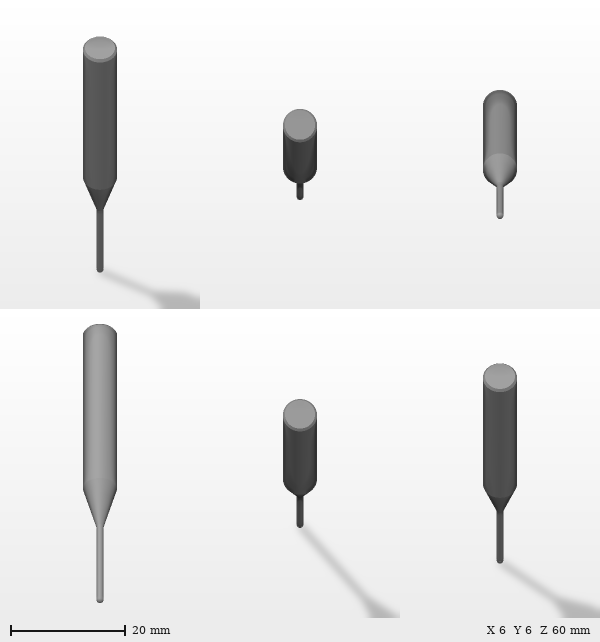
import cadquery as cq
import math

total_length = 60.0
shank_radius = 3.0
chamfer_width = 0.35
chamfer_height = 0.5

ball_radius = 0.6
tip_length = 1.0

neck_radius = 0.58
neck_top = 16.2
taper_bottom = 16.9
taper_bottom_radius = 0.65
taper_top = 25.4


def make_cutting_tip():
    """Short cylinder closed below by a hemisphere."""
    arc_sine = math.sin(math.radians(45))
    profile = (
        cq.Workplane("XZ")
        .moveTo(0, 0)
        .threePointArc(
            (ball_radius * arc_sine, ball_radius * (1 - arc_sine)),
            (ball_radius, ball_radius),
        )
        .lineTo(ball_radius, tip_length)
        .lineTo(0, tip_length)
        .close()
    )
    return profile.revolve(360, (0, 0), (0, 1))


def make_holder():
    """Neck, flared neck end, long taper and chamfered shank in one turned body."""
    profile = (
        cq.Workplane("XZ")
        .moveTo(0, tip_length)
        .lineTo(neck_radius, tip_length)
        .lineTo(neck_radius, neck_top)
        .lineTo(taper_bottom_radius, taper_bottom)
        .lineTo(shank_radius, taper_top)
        .lineTo(shank_radius, total_length - chamfer_height)
        .lineTo(shank_radius - chamfer_width, total_length)
        .lineTo(0, total_length)
        .close()
    )
    return profile.revolve(360, (0, 0), (0, 1))


cutting_tip = make_cutting_tip()
holder = make_holder()

result = cq.Compound.makeCompound([holder.val(), cutting_tip.val()])